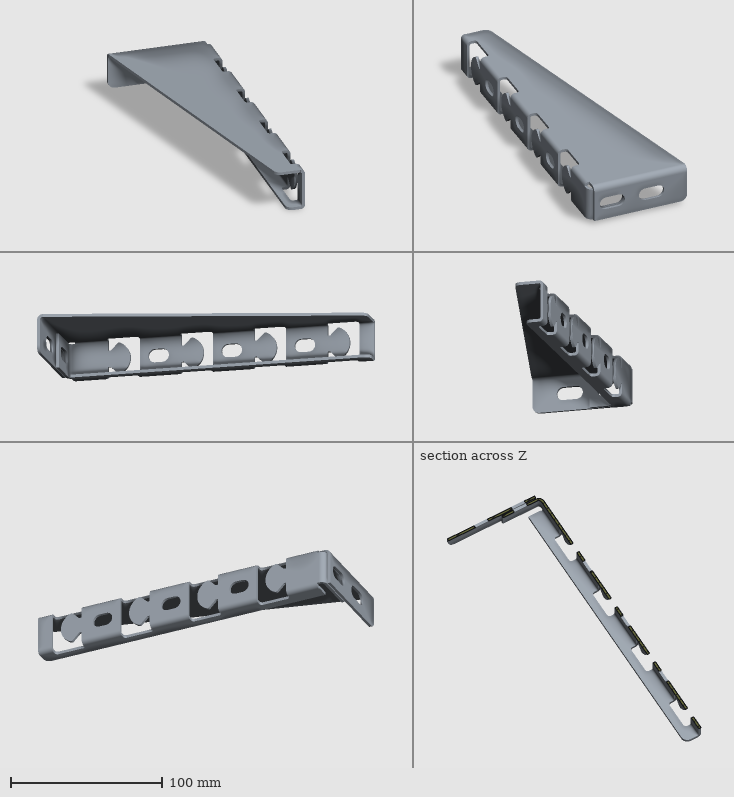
import cadquery as cq

length = 213.0
width = 70.5
height = 28.5
sheet = 2.0
mid_height = height / 2

web_bend = 3.0
end_bend = 4.0

taper_slope = 0.244
tip_inset = 0.5
tip_radius = 5.0

flange_start = 7.9
flange_depth = 12.5
flange_radius = 4.5

relief_x = 8.3
relief_y = 3.5
relief_top = 2.8
lower_gap = 2.5

end_radius = 5.0
tab_x = 2.5
tab_depth = 30.2
end_slot_count = 2
end_slot_length = 18.0
end_slot_width = 9.0
end_slot_height = 14.5
end_slot_offset = 16.5
end_slot_pitch = 28.3

window_count = 4
window_start = 30.9
window_length = 21.7
window_pitch = 50.0
window_depth = 6.5
window_radius = 2.0
web_height = 14.0
web_slot_offset = 34.5
web_slot_length = 14.0
web_slot_width = 9.2

neck_half = 5.5
neck_length = 1.7
tongue_length = 15.1
nose_radius = 11.5
tongue_corner = 1.5


def box(x0, x1, y0, y1, z0, z1):
    """Box between two opposite corners."""
    return cq.Workplane("XY").box(x1 - x0, y1 - y0, z1 - z0, centered=False).translate((x0, y0, z0))


def make_channel():
    """Web with the top and bottom flanges, as a bent U section along X."""
    outer = box(0, length, 0, width, 0, height).edges("|X and >Y").fillet(web_bend)
    inner = box(0, length, 0, width - sheet, sheet, height - sheet)
    inner = inner.edges("|X and >Y").fillet(web_bend - sheet)
    return outer.cut(inner)


def make_top_outline():
    """Tapered outline of the top plate, through the full height."""
    tip_x = length - tip_inset
    bend_line = width - web_bend
    outline = (
        cq.Workplane("XY")
        .moveTo(0, 0)
        .lineTo(end_bend, 0)
        .lineTo(tip_x, taper_slope * (tip_x - end_bend))
        .lineTo(tip_x, bend_line)
        .lineTo(0, bend_line)
        .close()
        .extrude(height)
    )
    outline = outline.edges("|Z and >X").edges("<Y").fillet(tip_radius)
    return outline.union(box(0, length, bend_line, width, 0, height))


def make_bottom_outline():
    """Outline of the narrow bottom flange, through the full height."""
    outline = box(flange_start, length, width - flange_depth, width, 0, height)
    return outline.edges("|Z and >X and <Y").fillet(flange_radius)


def make_body():
    """Channel with both flanges trimmed to their outlines and the end left open."""
    channel = make_channel()
    upper = channel.intersect(box(0, length, 0, width, mid_height, height)).intersect(make_top_outline())
    lower = channel.intersect(box(0, length, 0, width, 0, mid_height)).intersect(make_bottom_outline())
    body = upper.union(lower)
    body = body.cut(box(0, relief_x, width - relief_y, width, 0, height))
    return body.cut(box(0, end_bend, 0, width, 0, height))


def make_end_plate():
    """Plate at x = 0 that bends over into the top plate."""
    plate_edge = width - relief_y
    outer = box(0, relief_x, 0, plate_edge, lower_gap, height)
    outer = outer.edges("|Y and <X and >Z").fillet(end_bend)
    inner = box(sheet, 2 * relief_x, 0, plate_edge, 0, height - sheet)
    inner = inner.edges("|Y and <X and >Z").fillet(end_bend - sheet)
    plate = outer.cut(inner).intersect(box(0, end_bend, 0, plate_edge, 0, height))
    return plate.edges("|X and <Y and <Z").fillet(end_radius)


def make_tab():
    """End of the web, bent round to lie just behind the end plate."""
    z0 = lower_gap
    z1 = height - relief_top
    outer = box(tab_x, relief_x, width - tab_depth, width, z0, z1)
    outer = outer.edges("|Z and <X and >Y").fillet(end_bend)
    inner = box(tab_x + sheet, 2 * relief_x, 0, width - sheet, z0, z1)
    inner = inner.edges("|Z and <X and >Y").fillet(end_bend - sheet)
    return outer.cut(inner)


def make_end_slots():
    """Slots along Y through the end plate and the tab."""
    first = width - end_slot_offset
    return (
        cq.Workplane("YZ")
        .pushPoints([(first - i * end_slot_pitch, end_slot_height) for i in range(end_slot_count)])
        .slot2D(end_slot_length, end_slot_width)
        .extrude(relief_x)
    )


def make_window(x):
    """Cutter that opens the web and notches both flanges."""
    cutter = box(x, x + window_length, width - window_depth, width, 0, height)
    return cutter.edges("|Z and <Y").fillet(window_radius)


def make_tongue(x):
    """Tongue reaching from the web into the window that starts at x."""
    flare_end = neck_half + tongue_length - neck_length
    wedge = (
        cq.Workplane("XZ", origin=(x, width, web_height))
        .polyline([
            (0, -neck_half),
            (neck_length, -neck_half),
            (tongue_length, -flare_end),
            (tongue_length, flare_end),
            (neck_length, neck_half),
            (0, neck_half),
        ])
        .close()
        .extrude(sheet)
    )
    nose = (
        cq.Workplane("XZ", origin=(x, width, web_height))
        .center(tongue_length - nose_radius, 0)
        .circle(nose_radius)
        .extrude(sheet)
    )
    tongue = wedge.intersect(nose)
    return tongue.edges("|Y").edges(">Z or <Z").fillet(tongue_corner)


def make_web_slot(x):
    """Slot along X through the web, centred at x."""
    return (
        cq.Workplane("XZ", origin=(x, width, web_height))
        .slot2D(web_slot_length, web_slot_width)
        .extrude(sheet)
    )


result = make_body().union(make_tab()).union(make_end_plate()).cut(make_end_slots())

for i in range(window_count):
    window_x = window_start + i * window_pitch
    result = result.cut(make_window(window_x)).union(make_tongue(window_x))
    if i < window_count - 1:
        result = result.cut(make_web_slot(window_x + web_slot_offset))